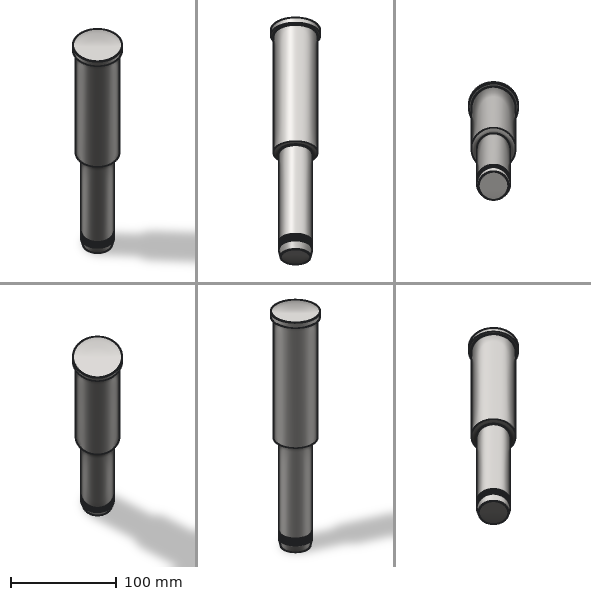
import cadquery as cq

total_length = 251.0
head_radius = 47.0 / 2
head_height = 6.0
head_chamfer = 0.5
body_radius = 42.0 / 2
body_end_depth = 135.5
pin_radius = 32.0 / 2

head_relief_width = 1.3
head_relief_depth = 0.5
neck_height = 1.5
neck_depth = 0.3

groove_count = 3
groove_width = 1.8
groove_depth = 0.8
groove_pitch = 3.0
lowest_groove_bottom = 8.5

lead_height = 7.5
lead_end_radius = 14.3
tip_chamfer = 0.5

head_bottom = total_length - head_height
body_bottom = total_length - body_end_depth


def v_groove(bottom, width, depth, shaft_radius):
    """Profile points, from bottom to top, of a V-shaped ring groove in a shaft."""
    return [
        (shaft_radius, bottom),
        (shaft_radius - depth, bottom + width / 2),
        (shaft_radius, bottom + width),
    ]


outline = [
    (0, 0),
    (lead_end_radius - tip_chamfer, 0),
    (lead_end_radius, tip_chamfer),
    (pin_radius, lead_height),
]

for index in range(groove_count):
    groove_bottom = lowest_groove_bottom + index * groove_pitch
    outline += v_groove(groove_bottom, groove_width, groove_depth, pin_radius)

outline += [
    (pin_radius, body_bottom - neck_height),
    (pin_radius - neck_depth, body_bottom - neck_height),
    (pin_radius - neck_depth, body_bottom),
    (body_radius, body_bottom),
]

outline += v_groove(head_bottom - head_relief_width, head_relief_width, head_relief_depth, body_radius)

outline += [
    (head_radius, head_bottom),
    (head_radius, total_length - head_chamfer),
    (head_radius - head_chamfer, total_length),
    (0, total_length),
]

result = cq.Workplane("XZ").polyline(outline).close().revolve(360, (0, 0, 0), (0, 1, 0))